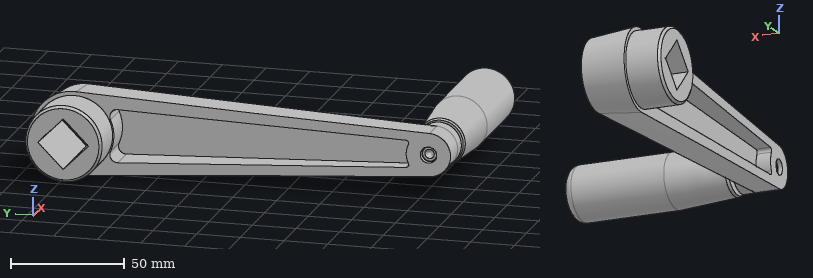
import cadquery as cq
import math

arm_length = 160.0

arm_tip_x = 16.5
arm_back_x = 38.7
pocket_floor_x = 33.0
boss_end_x = 44.9
slant_rise = 9.8

head_front_radius = 19.5
head_back_radius = 17.1
boss_radius = 10.0
hub_radius = 17.5
hub_chamfer = 1.2
square_side = 16.4

pocket_hub_radius = 18.0
pocket_boss_radius = 10.0
pocket_hub_half_width = 12.5
pocket_boss_half_width = 6.2
pocket_hub_fillet = 3.5
pocket_boss_fillet = 1.3

spindle_radius = 3.7
spindle_end_x = 28.5
spindle_chamfer = 0.4
center_hole_radius = 2.1
center_hole_depth = 2.1
neck_radius = 6.5
grip_start_x = 46.5
grip_start_radius = 10.4
taper_start_x = 48.0
taper_start_radius = 11.0
taper_end_x = 76.6
grip_radius = 13.0
end_round_x = 122.0
dome_edge_x = 125.9
dome_edge_radius = 10.4
dome_top_x = 126.5


def arm_outline(x, head_radius):
    """Return the plan of the arm at X: two arcs joined by their common tangents."""
    tilt = math.asin((head_radius - boss_radius) / arm_length)
    cos_tilt = math.cos(tilt)
    sin_tilt = math.sin(tilt)
    head_y = -head_radius * sin_tilt
    head_z = head_radius * cos_tilt
    boss_y = -arm_length - boss_radius * sin_tilt
    boss_z = boss_radius * cos_tilt
    return (
        cq.Workplane("YZ", origin=(x, 0, 0))
        .moveTo(head_y, head_z)
        .threePointArc((head_radius, 0), (head_y, -head_z))
        .lineTo(boss_y, -boss_z)
        .threePointArc((-arm_length - boss_radius, 0), (boss_y, boss_z))
        .close()
        .wires()
        .val()
    )


def make_arm():
    """Drafted arm and grip boss with their front face cut to a slant."""
    front = arm_outline(arm_tip_x, head_front_radius)
    back = arm_outline(arm_back_x, head_back_radius)
    drafted = cq.Workplane(cq.Solid.makeLoft([front, back], True))

    boss = (
        cq.Workplane("YZ", origin=(arm_tip_x, -arm_length, 0))
        .circle(boss_radius)
        .extrude(boss_end_x - arm_tip_x)
    )

    slant_length = arm_length + head_front_radius
    end_ratio = (slant_length + 2 * boss_radius) / slant_length
    far_y = head_front_radius
    near_y = far_y - slant_length * end_ratio
    near_x = arm_tip_x + slant_rise * end_ratio
    wedge = (
        cq.Workplane("XY")
        .polyline([(arm_tip_x, far_y), (near_x, near_y), (arm_tip_x, near_y)])
        .close()
        .extrude(2 * head_front_radius, both=True)
    )
    return drafted.union(boss).cut(wedge)


def make_pocket():
    """Tapered pocket whose ends are arcs about the hub and grip axes."""
    hub_y = -math.sqrt(pocket_hub_radius**2 - pocket_hub_half_width**2)
    boss_y = -arm_length + math.sqrt(pocket_boss_radius**2 - pocket_boss_half_width**2)
    pocket = (
        cq.Workplane("YZ", origin=(pocket_floor_x, 0, 0))
        .moveTo(hub_y, pocket_hub_half_width)
        .threePointArc((-pocket_hub_radius, 0), (hub_y, -pocket_hub_half_width))
        .lineTo(boss_y, -pocket_boss_half_width)
        .threePointArc((-arm_length + pocket_boss_radius, 0), (boss_y, pocket_boss_half_width))
        .close()
        .extrude(arm_tip_x - pocket_floor_x)
    )
    middle_y = -arm_length / 2
    hub_corners = cq.selectors.BoxSelector(
        (arm_tip_x, middle_y, -head_front_radius), (arm_back_x, 0, head_front_radius)
    )
    boss_corners = cq.selectors.BoxSelector(
        (arm_tip_x, -arm_length, -head_front_radius), (arm_back_x, middle_y, head_front_radius)
    )
    pocket = pocket.edges("|X").edges(hub_corners).fillet(pocket_hub_fillet)
    return pocket.edges("|X").edges(boss_corners).fillet(pocket_boss_fillet)


def make_crank():
    """Arm with hub, pocket, square hole and spindle bore."""
    hub = cq.Workplane("YZ").circle(hub_radius).extrude(pocket_floor_x)
    hub = hub.faces("<X").chamfer(hub_chamfer)
    square_hole = (
        cq.Workplane("YZ")
        .rect(square_side, square_side)
        .extrude(arm_back_x)
        .rotate((0, 0, 0), (1, 0, 0), 45)
    )
    bore = (
        cq.Workplane("YZ", origin=(0, -arm_length, 0))
        .circle(spindle_radius)
        .extrude(boss_end_x)
    )
    arm = make_arm().cut(make_pocket())
    return arm.union(hub).cut(square_hole).cut(bore)


def make_handle():
    """Spindle, neck and grip turned about the grip axis."""
    dome_height = dome_top_x - dome_edge_x
    dome_radius = (dome_edge_radius**2 + dome_height**2) / (2 * dome_height)
    dome_middle_radius = dome_edge_radius / 2
    dome_middle_x = dome_top_x - dome_radius + math.sqrt(dome_radius**2 - dome_middle_radius**2)
    return (
        cq.Workplane("XY")
        .moveTo(spindle_end_x + center_hole_depth, 0)
        .lineTo(spindle_end_x, center_hole_radius)
        .lineTo(spindle_end_x, spindle_radius - spindle_chamfer)
        .lineTo(spindle_end_x + spindle_chamfer, spindle_radius)
        .lineTo(boss_end_x, spindle_radius)
        .lineTo(boss_end_x, neck_radius)
        .lineTo(grip_start_x, neck_radius)
        .lineTo(grip_start_x, grip_start_radius)
        .lineTo(taper_start_x, taper_start_radius)
        .lineTo(taper_end_x, grip_radius)
        .lineTo(end_round_x, grip_radius)
        .tangentArcPoint((dome_edge_x, dome_edge_radius), relative=False)
        .threePointArc((dome_middle_x, dome_middle_radius), (dome_top_x, 0))
        .close()
        .revolve(360, (0, 0, 0), (1, 0, 0))
        .translate((0, -arm_length, 0))
    )


crank = make_crank()
handle = make_handle()
result = cq.Compound.makeCompound([crank.val(), handle.val()])